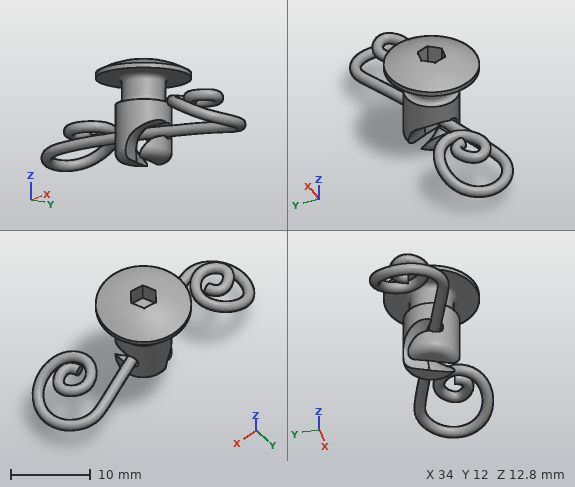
import cadquery as cq
import math

HEAD_RADIUS = 6.0
RIM_BOTTOM = 10.75
RIM_TOP = 11.35
DOME_APEX = 12.95
NECK_RADIUS = 2.75
NECK_FILLET = 0.68
BODY_RADIUS = 3.55
BODY_TOP = 7.28
BOTTOM_FILLET = 1.2

HEX_CORNER_RADIUS = 1.8
HEX_ROTATION = -9
HEX_DEPTH = 2.72

WIRE_DIAMETER = 1.4
WIRE_ANGLE = 21.3
WIRE_CENTER_HEIGHT = 3.6
COIL_HEIGHT = 6.1
SEAT_DIAMETER = 2.05
SLOT_HALF_WIDTH = 0.95
SLOT_REACH = 4.08
SLOT_CORE_OVERLAP = 0.17
BELOW_STUD = -0.35

UPPER_JAW = [(-78, BELOW_STUD), (-77, 1.2), (-68, 2.72), (-42, 4.08), (0, 4.9), (WIRE_ANGLE, 4.55)]
LOWER_JAW = [(-60, BELOW_STUD), (-42, 1.2), (-28, 2.1), (0, 2.7), (WIRE_ANGLE, 2.62)]
SLOT_CENTER = [(-71, BELOW_STUD), (-60, 1.35), (-40, 2.72), (0, 3.67), (WIRE_ANGLE, WIRE_CENTER_HEIGHT)]

ARM_POINTS = [
    (3.3, 1.3, 3.55),
    (6.8, 2.65, 3.45),
    (10.4, 4.0, 3.2),
    (12.27, 4.42, 3.0),
    (15.05, 3.23, 2.62),
    (16.303, 0, 2.48),
    (15.05, -2.92, 3.1),
    (12.15, -4.15, 4.6),
    (9.62, -3.23, 5.65),
    (8.65, -0.9, COIL_HEIGHT),
    (11.95, 1.8, COIL_HEIGHT),
    (13.8, -0.07, COIL_HEIGHT),
    (11.85, -1.8, COIL_HEIGHT),
    (10.27, -0.48, COIL_HEIGHT),
]


def make_stud_blank():
    """Revolve the domed head, filleted neck and round body."""
    arc_offset = NECK_FILLET * (1 - math.sqrt(0.5))
    bottom_offset = BOTTOM_FILLET * (1 - math.sqrt(0.5))
    dome_rise = DOME_APEX - RIM_TOP
    dome_radius = (HEAD_RADIUS**2 + dome_rise**2) / (2 * dome_rise)
    dome_mid_radius = HEAD_RADIUS / 2
    dome_mid_height = DOME_APEX - dome_radius + math.sqrt(dome_radius**2 - dome_mid_radius**2)
    profile = (
        cq.Workplane("XZ")
        .lineTo(BODY_RADIUS - BOTTOM_FILLET, 0)
        .threePointArc((BODY_RADIUS - bottom_offset, bottom_offset), (BODY_RADIUS, BOTTOM_FILLET))
        .lineTo(BODY_RADIUS, BODY_TOP)
        .lineTo(NECK_RADIUS + NECK_FILLET, BODY_TOP)
        .threePointArc(
            (NECK_RADIUS + arc_offset, BODY_TOP + arc_offset), (NECK_RADIUS, BODY_TOP + NECK_FILLET)
        )
        .lineTo(NECK_RADIUS, RIM_BOTTOM - NECK_FILLET)
        .threePointArc(
            (NECK_RADIUS + arc_offset, RIM_BOTTOM - arc_offset), (NECK_RADIUS + NECK_FILLET, RIM_BOTTOM)
        )
        .lineTo(HEAD_RADIUS, RIM_BOTTOM)
        .lineTo(HEAD_RADIUS, RIM_TOP)
        .threePointArc((dome_mid_radius, dome_mid_height), (0, DOME_APEX))
        .close()
    )
    return profile.revolve(360, (0, 0, 0), (0, 1, 0))


def make_hex_socket():
    return (
        cq.Workplane("XY")
        .workplane(offset=DOME_APEX - HEX_DEPTH)
        .transformed(rotate=(0, 0, HEX_ROTATION))
        .polygon(6, 2 * HEX_CORNER_RADIUS)
        .extrude(HEX_DEPTH)
    )


def slot_curve(angle_heights, radius, sideways=0):
    """Spline at a radius from the axis, shifted sideways across the radial direction."""
    points = []
    for degrees, height in angle_heights:
        angle = math.radians(degrees)
        x = radius * math.cos(angle) - sideways * math.sin(angle)
        y = radius * math.sin(angle) + sideways * math.cos(angle)
        points.append(cq.Vector(x, y, height))
    return cq.Edge.makeSpline(points)


def make_slot_half():
    """Ruled block between the two jaws, from the stud axis out past its wall."""
    loop = [
        slot_curve(UPPER_JAW, SLOT_REACH),
        slot_curve(LOWER_JAW, SLOT_REACH),
        slot_curve(SLOT_CENTER, -SLOT_CORE_OVERLAP, SLOT_HALF_WIDTH),
        slot_curve(SLOT_CENTER, -SLOT_CORE_OVERLAP, -SLOT_HALF_WIDTH),
    ]
    sides = [cq.Face.makeRuledSurface(loop[i - 1], loop[i]) for i in range(len(loop))]
    caps = []
    for end in (0, 1):
        corners = [curve.positionAt(end) for curve in loop]
        outer_edge = cq.Edge.makeLine(corners[0], corners[1])
        inner_edge = cq.Edge.makeLine(corners[3], corners[2])
        caps.append(cq.Face.makeRuledSurface(outer_edge, inner_edge))
    shell = cq.Shell.makeShell(sides + caps)
    return cq.Workplane(cq.Solid.makeSolid(shell).fix())


def make_wire_seat():
    """Cross bore in which the wire rests at the closed ends of the slot."""
    return (
        cq.Workplane("YZ")
        .center(0, WIRE_CENTER_HEIGHT)
        .circle(SEAT_DIAMETER / 2)
        .extrude(SLOT_REACH, both=True)
        .rotate((0, 0, 0), (0, 0, 1), WIRE_ANGLE)
    )


def make_stud():
    stud = make_stud_blank().cut(make_hex_socket()).cut(make_wire_seat())
    for turn in (0, 180):
        stud = stud.cut(make_slot_half().rotate((0, 0, 0), (0, 0, 1), turn))
    return stud.solids()


def make_spring():
    """Sweep round wire along two coiled arms that match after a half turn about Z."""
    opposite_arm = [(-x, -y, z) for x, y, z in reversed(ARM_POINTS)]
    points = opposite_arm + [(0, 0, WIRE_CENTER_HEIGHT)] + ARM_POINTS
    path = cq.Workplane("XY").spline(points)
    start = path.val().positionAt(0)
    section_plane = cq.Plane(origin=start, normal=path.val().tangentAt(0))
    return cq.Workplane(section_plane).circle(WIRE_DIAMETER / 2).sweep(path)


stud = make_stud()
spring = make_spring()
result = cq.Compound.makeCompound([stud.val(), spring.val()])